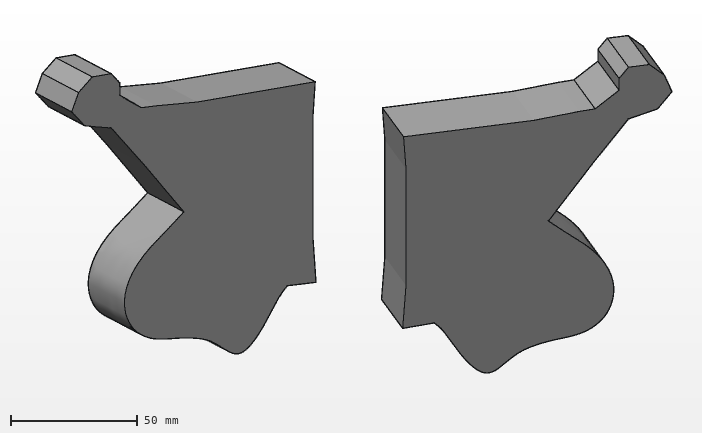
import cadquery as cq

thickness = 29.0
depth = 111.7
height = 125.7

shoulder_z = 107.7
back_y = 110.3
heel = (depth, 24.1)
back_edge = [(back_y, 42.7), (back_y, 93.6), (111.4, shoulder_z)]
shoulder_edge = [(57.3, shoulder_z), (38.5, 109.1), (31.9, 109.3)]

knob_back_y = 22.0
knob_edge = [
    (knob_back_y, 116.1),
    (knob_back_y, 121.3),
    (18.1, height),
    (9.4, height),
    (3.1, 120.2),
    (0.0, 112.6),
    (6.0, 105.8),
    (18.1, 103.0),
]

crotch = (51.3, 63.0)
neck_underside = [(33.0, 85.5), crotch]

heel_step = (98.7, 24.8)
lobe_and_toe = [
    (38.0, 52.3),
    (28.9, 43.0),
    (24.1, 29.5),
    (28.0, 18.2),
    (37.5, 12.3),
    (47.1, 10.9),
    (55.3, 9.8),
    (64.5, 6.7),
    (69.5, 3.1),
    (76.2, 0.0),
    (83.5, 4.4),
    (90.5, 14.1),
    heel_step,
]

outline = (
    cq.Workplane("YZ")
    .moveTo(*heel)
)
for corner in back_edge + shoulder_edge + knob_edge + neck_underside:
    outline = outline.lineTo(*corner)
outline = outline.spline(lobe_and_toe, includeCurrent=True).close()

result = outline.extrude(thickness)